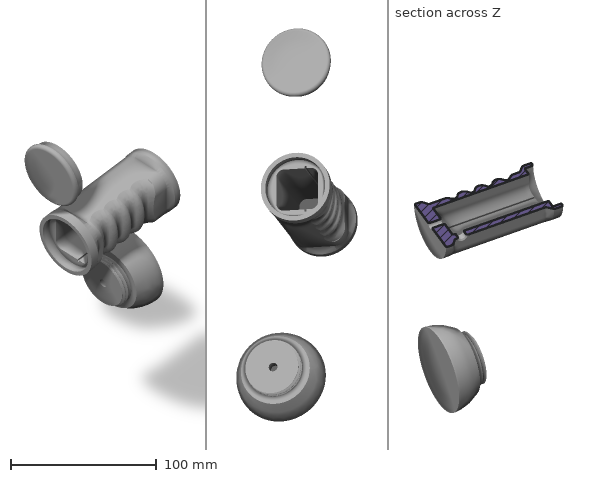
import cadquery as cq
import math

overall_width = 91.5
overall_height = 244.2

flange_radius = 24.2
handle_length = 90.1
bar_half_width = 19.8
bar_corner_radius = 10.0
mouth_ring_length = 6.8
mouth_taper_length = 4.5
head_ring_length = 5.4
head_taper_length = 3.7
recess_radius = 21.0
recess_depth = 6.5
cavity_half_width = 14.7
cavity_corner_radius = 5.1
end_wall_thickness = 9.8
end_hole_diameter = 5.0
side_hole_diameter = 6.0
side_hole_countersink = 1.0
side_hole_y = 75.2
groove_width = 1.5
groove_depth = 1.5
groove_x = 5.9

finger_count = 4
finger_pitch = 13.5
first_finger_y = 22.2
grip_end_margin = 8.8
grip_back_x = 3.7
grip_mid = (0.0, 16.5, 20.5, 22.0, 4.5)
grip_shoulder = (13.5, 14.7, 17.3, 20.0, 3.0)
grip_edge = (bar_half_width, 6.5, 8.8, 9.8, 0.5)

cap_x = 5.0
cap_z = 82.8
cap_front_y = -21.7
cap_rim_radius = flange_radius
cap_plug_diameter = 44.7
cap_rim_length = 3.2
cap_plug_length = 6.4
cap_rim_fillet = 2.2

head_back_y = 99.7
head_rim_diameter = 62.3
head_rim_radius = head_rim_diameter / 2
head_x = cap_x + cap_rim_radius + head_rim_radius - overall_width
head_z = cap_z + cap_rim_radius + head_rim_radius - overall_height
head_rim_length = 1.0
head_seat_radius = flange_radius
head_bowl_length = 19.8
head_bowl_mid_radius = 29.3
thread_root_diameter = 35.5
thread_crest_diameter = 38.8
thread_length = 7.3
thread_pitch = 3.0
thread_start_angle = 175
head_hole_diameter = 6.0

cavity_end_y = handle_length - end_wall_thickness
cavity_length = cavity_end_y - recess_depth


def section_plane(y, x=0.0, z=0.0):
    """Plane across the Y axis: local x is +X, local y is +Z and the normal is -Y."""
    return cq.Workplane("XZ", origin=(x, y, z))


def disc(radius, y_start, length, x=0.0, z=0.0):
    """Cylinder along Y from y_start toward +Y."""
    return section_plane(y_start, x, z).circle(radius).extrude(-length)


def square_outline(sketch):
    """Outline of the bar: four flats joined by four corner arcs."""
    near = bar_half_width - bar_corner_radius
    far = bar_half_width
    bow = near + bar_corner_radius * math.sqrt(0.5)
    return (
        sketch.moveTo(far, -near)
        .lineTo(far, near).threePointArc((bow, bow), (near, far))
        .lineTo(-near, far).threePointArc((-bow, bow), (-far, near))
        .lineTo(-far, -near).threePointArc((-bow, -bow), (-near, -far))
        .lineTo(near, -far).threePointArc((bow, -bow), (far, -near))
        .close()
    )


def circle_outline(sketch):
    """Flange circle in eight arcs, one for each flat and corner of the bar outline."""
    flat_angle = math.degrees(math.atan2(bar_half_width - bar_corner_radius, bar_half_width))

    def on_circle(angle):
        turn = math.radians(angle)
        return flange_radius * math.cos(turn), flange_radius * math.sin(turn)

    sketch = sketch.moveTo(*on_circle(-flat_angle))
    for middle in (0, 90, 180, 270):
        sketch = sketch.threePointArc(on_circle(middle), on_circle(middle + flat_angle))
        sketch = sketch.threePointArc(on_circle(middle + 45), on_circle(middle + 90 - flat_angle))
    return sketch.close()


def taper(y_circle, y_square):
    """Transition from the flange circle to the bar outline."""
    sketch = circle_outline(section_plane(y_circle)).workplane(offset=y_circle - y_square)
    return square_outline(sketch).loft(ruled=True, combine=True)


def grip_section(z, valley_x, ridge_x, end_x, ridge_half):
    """Closed wavy wire at height z: concave valleys joined by convex ridges."""
    half_pitch = finger_pitch / 2
    valley_half = half_pitch - ridge_half
    join_x = valley_x + (ridge_x - valley_x) * valley_half / half_pitch
    last_finger_y = first_finger_y + (finger_count - 1) * finger_pitch
    start_y = first_finger_y - grip_end_margin
    end_y = last_finger_y + grip_end_margin

    sketch = cq.Workplane("XY", origin=(0, 0, z)).moveTo(grip_back_x, start_y).lineTo(end_x, start_y)
    sketch = sketch.lineTo(join_x, first_finger_y - valley_half)
    for finger in range(finger_count):
        y = first_finger_y + finger * finger_pitch
        sketch = sketch.threePointArc((valley_x, y), (join_x, y + valley_half))
        if finger < finger_count - 1:
            next_valley_start = y + finger_pitch - valley_half
            sketch = sketch.threePointArc((ridge_x, y + half_pitch), (join_x, next_valley_start))
    sketch = sketch.lineTo(end_x, end_y).lineTo(grip_back_x, end_y).close()
    return sketch.val()


def add_finger_grip(bar):
    """Replace the +X side of the bar by the wavy grip."""
    upper = [grip_shoulder, grip_edge]
    lower = [(-section[0], *section[1:]) for section in reversed(upper)]
    wires = [grip_section(*section) for section in lower + [grip_mid] + upper]
    wave = cq.Workplane(cq.Solid.makeLoft(wires))

    finger_span = (finger_count - 1) * finger_pitch
    grip_length = finger_span + 2 * grip_end_margin
    middle_y = first_finger_y + finger_span / 2
    room = (
        cq.Workplane("XY", origin=(grip_back_x, middle_y, 0))
        .box(2 * bar_half_width, grip_length, 4 * bar_half_width, centered=(False, True, True))
    )
    ridge_zone = (
        cq.Workplane("XY", origin=(grip_back_x, middle_y, 0))
        .box(2 * bar_half_width, finger_span, 4 * bar_half_width, centered=(False, True, True))
    )
    ridges = wave.intersect(ridge_zone)
    ends = wave.intersect(bar).cut(ridge_zone)
    return bar.cut(room).union(ends).union(ridges)


def make_handle():
    mouth_bar_y = mouth_ring_length + mouth_taper_length
    head_ring_y = handle_length - head_ring_length
    head_bar_y = head_ring_y - head_taper_length

    bar = square_outline(section_plane(mouth_bar_y)).extrude(mouth_bar_y - head_bar_y)
    handle = (
        add_finger_grip(bar)
        .union(taper(mouth_ring_length, mouth_bar_y))
        .union(taper(head_ring_y, head_bar_y))
        .union(disc(flange_radius, 0, mouth_ring_length))
        .union(disc(flange_radius, head_ring_y, head_ring_length))
    )

    cavity = (
        section_plane(recess_depth)
        .rect(2 * cavity_half_width, 2 * cavity_half_width)
        .extrude(-cavity_length)
        .edges("|Y and >X").fillet(cavity_corner_radius)
    )
    handle = handle.cut(disc(recess_radius, 0, recess_depth)).cut(cavity)

    grooves = (
        section_plane(recess_depth, groove_x)
        .rect(groove_width, 2 * (cavity_half_width + groove_depth))
        .extrude(-cavity_length)
    )
    handle = handle.cut(grooves)

    handle = handle.cut(disc(end_hole_diameter / 2, cavity_end_y, end_wall_thickness))
    side_hole_radius = side_hole_diameter / 2
    side_plane = cq.Workplane("YZ", origin=(-bar_half_width, side_hole_y, 0))
    side_hole = side_plane.circle(side_hole_radius).extrude(bar_half_width - cavity_half_width)
    countersink = (
        side_plane.circle(side_hole_radius + side_hole_countersink)
        .workplane(offset=side_hole_countersink)
        .circle(side_hole_radius)
        .loft()
    )
    return handle.cut(side_hole).cut(countersink)


def make_corner_strip(side):
    """Strip that rounds one -X corner of the cavity; side is +1 for the roof, -1 for the floor."""
    wall = -cavity_half_width
    inner = wall + cavity_corner_radius
    bow = wall + cavity_corner_radius * (1 - math.sqrt(0.5))
    return (
        section_plane(recess_depth)
        .moveTo(wall, -side * wall)
        .lineTo(inner, -side * wall)
        .threePointArc((bow, -side * bow), (wall, -side * inner))
        .close()
        .extrude(-cavity_length)
    )


def make_cap():
    rim = disc(cap_rim_radius, cap_front_y, cap_rim_length, cap_x, cap_z)
    rim = rim.faces("<Y").edges().fillet(cap_rim_fillet)
    plug_y = cap_front_y + cap_rim_length
    plug = disc(cap_plug_diameter / 2, plug_y, cap_plug_length, cap_x, cap_z)
    return rim.union(plug)


def make_thread(y_start):
    """Threaded stub: an off-round section with one crest and one root, twisted once per pitch."""
    root_radius = thread_root_diameter / 2
    crest_radius = thread_crest_diameter / 2
    middle_radius = (root_radius + crest_radius) / 2
    return (
        section_plane(y_start, head_x, head_z)
        .transformed(rotate=(0, 0, thread_start_angle))
        .moveTo(crest_radius, 0)
        .threePointArc((0, middle_radius), (-root_radius, 0))
        .threePointArc((0, -middle_radius), (crest_radius, 0))
        .close()
        .twistExtrude(-thread_length, 360 * thread_length / thread_pitch)
    )


def make_head():
    seat_y = head_back_y - head_bowl_length
    rim_y = head_back_y - head_rim_length
    bowl = (
        cq.Workplane("XY", origin=(head_x, 0, head_z))
        .moveTo(0, seat_y)
        .lineTo(head_seat_radius, seat_y)
        .threePointArc((head_bowl_mid_radius, (seat_y + rim_y) / 2), (head_rim_radius, rim_y))
        .lineTo(head_rim_radius, head_back_y)
        .lineTo(0, head_back_y)
        .close()
        .revolve(360, (0, 0), (0, 1))
    )
    stub_y = seat_y - thread_length
    hole = disc(head_hole_diameter / 2, stub_y, thread_length, head_x, head_z)
    return bowl.union(make_thread(stub_y)).cut(hole)


handle = make_handle().solids()
corner_strips = [make_corner_strip(side).val() for side in (1, -1)]
cap = make_cap().solids()
head = make_head().solids()

result = cq.Compound.makeCompound([handle.val(), *corner_strips, cap.val(), head.val()])